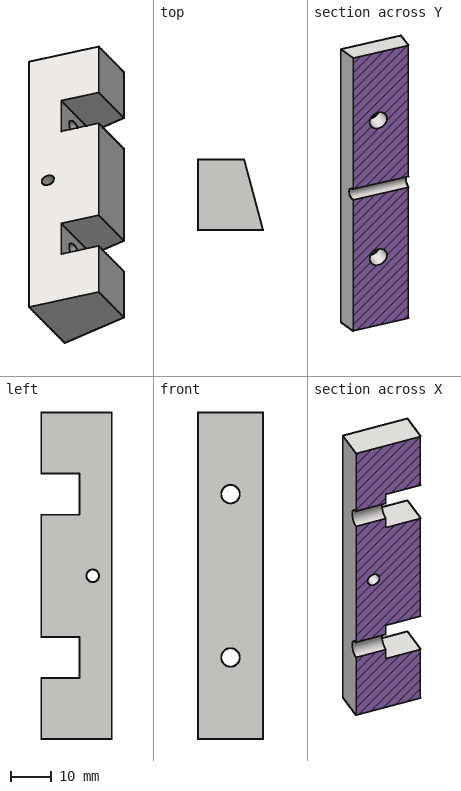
import cadquery as cq

length = 80.0
front_width = 16.0
back_width = 11.4
depth = 17.4

notch_height = 10.0
notch_depth = 9.4
notch_offset = 20.0

mount_diameter = 4.5
mount_offset = 20.0
cross_diameter = 3.0
cross_from_front = 4.7

middle = length / 2

block = (
    cq.Workplane("XY")
    .polyline([
        (0, 0),
        (front_width, 0),
        (back_width, depth),
        (0, depth),
    ])
    .close()
    .extrude(length)
)


def notch(center_z):
    """Rectangular channel across the full width, open at the back."""
    channel = cq.Workplane("XY").box(
        front_width, notch_depth, notch_height, centered=(False, False, True)
    )
    return channel.translate((0, depth - notch_depth, center_z))


def mounting_hole(center_z):
    """Round hole from the front face through to the back."""
    plane = cq.Workplane("XZ", origin=(front_width / 2, 0, center_z))
    return plane.circle(mount_diameter / 2).extrude(-depth)


cross_hole = (
    cq.Workplane("YZ", origin=(0, cross_from_front, middle))
    .circle(cross_diameter / 2)
    .extrude(front_width)
)

result = block.cut(cross_hole)
for side in (-1, 1):
    result = result.cut(notch(middle + side * notch_offset))
    result = result.cut(mounting_hole(middle + side * mount_offset))